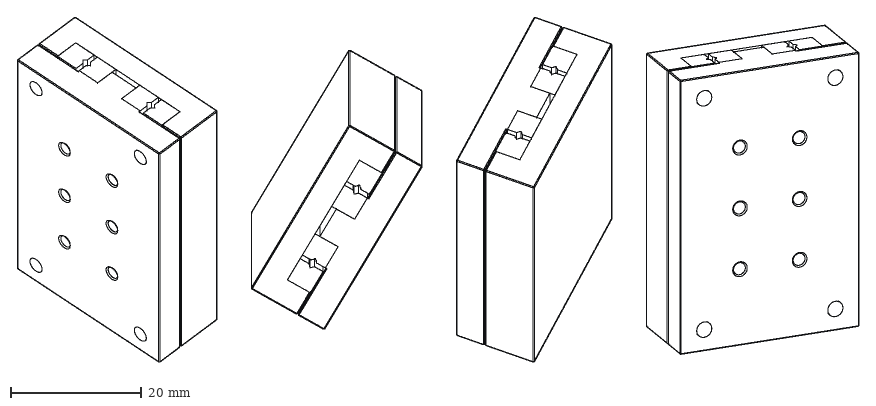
import cadquery as cq

width = 30.0
depth = 13.0
length = 45.0
edge_chamfer = 0.15

base_face_y = -depth / 2
carriage_face_y = depth / 2
base_edge_thickness = 4.7
base_seat_thickness = 4.8
tongue_height = 3.2
carriage_thickness = 8.2
rail_height = 4.05
base_top_y = base_face_y + base_edge_thickness
rail_seat_y = base_face_y + base_seat_thickness
tongue_top_y = rail_seat_y + tongue_height
rail_top_y = rail_seat_y + rail_height
carriage_bottom_y = carriage_face_y - carriage_thickness

tongue_half_width = 2.5
channel_half_width = 11.0
rail_gap = 0.68
rail_width = (channel_half_width - tongue_half_width - rail_gap) / 2
seat_half_width = tongue_half_width + rail_width
groove_depth = 0.5

mount_hole_diameter = 2.5
mount_hole_x = 11.0
mount_hole_z = 19.0
thread_diameter = 2.0
thread_chamfer = 0.22
thread_x = 5.0
thread_pitch_z = 10.0
thread_rows = 3


def block(x_min, x_max, y_min, y_max):
    """Full-length block between two X limits and two Y limits, centred on Z."""
    return cq.Workplane("XY").box(x_max - x_min, y_max - y_min, length).translate(
        ((x_min + x_max) / 2, (y_min + y_max) / 2, 0)
    )


def front_hole_plane():
    """Plane on the base mounting face, with local axes X and Z."""
    return cq.Workplane("XZ", origin=(0, base_face_y, 0))


def mount_holes(hole_depth):
    """Four plain holes near the corners of the base."""
    points = [(x, z) for x in (-mount_hole_x, mount_hole_x) for z in (-mount_hole_z, mount_hole_z)]
    return front_hole_plane().pushPoints(points).circle(mount_hole_diameter / 2).extrude(-hole_depth)


def threaded_holes(hole_depth):
    """Two columns of threaded holes, each with a 45 degree chamfer at its mouth."""
    centers = front_hole_plane().rarray(2 * thread_x, thread_pitch_z, 2, thread_rows)
    bores = centers.circle(thread_diameter / 2).extrude(-hole_depth)
    mouths = centers.circle(thread_diameter / 2 + thread_chamfer).extrude(-thread_chamfer, taper=45)
    return bores.union(mouths)


def make_base():
    """Chamfered plate with a raised rail seat, a centre tongue and its mounting holes."""
    plate = block(-width / 2, width / 2, base_face_y, base_top_y).edges().chamfer(edge_chamfer)
    seat = block(-seat_half_width, seat_half_width, base_top_y - edge_chamfer, rail_seat_y)
    tongue = block(-tongue_half_width, tongue_half_width, rail_seat_y, tongue_top_y)
    body = plate.union(seat).union(tongue)
    return body.cut(mount_holes(base_seat_thickness)).cut(threaded_holes(base_seat_thickness))


def make_carriage():
    """Chamfered block with an open channel that takes the rails and the tongue."""
    body = block(-width / 2, width / 2, carriage_bottom_y, carriage_face_y).edges().chamfer(edge_chamfer)
    channel = block(-channel_half_width, channel_half_width, carriage_bottom_y, rail_top_y)
    return body.cut(channel)


def make_rail(back_x, toward):
    """Rail with its flat back at back_x and its V groove facing the +X or -X direction (toward = 1 or -1)."""
    face_x = back_x + toward * rail_width
    groove_y = (rail_seat_y + rail_top_y) / 2
    return (
        cq.Workplane("XY", origin=(0, 0, -length / 2))
        .moveTo(back_x, rail_seat_y)
        .lineTo(face_x, rail_seat_y)
        .lineTo(face_x, groove_y - groove_depth)
        .lineTo(face_x - toward * groove_depth, groove_y)
        .lineTo(face_x, groove_y + groove_depth)
        .lineTo(face_x, rail_top_y)
        .lineTo(back_x, rail_top_y)
        .close()
        .extrude(length)
    )


base = make_base()
carriage = make_carriage()
rails = []
for side in (-1, 1):
    rails.append(make_rail(side * channel_half_width, -side).val())
    rails.append(make_rail(side * tongue_half_width, side).val())

result = cq.Compound.makeCompound([base.val(), carriage.val(), *rails])